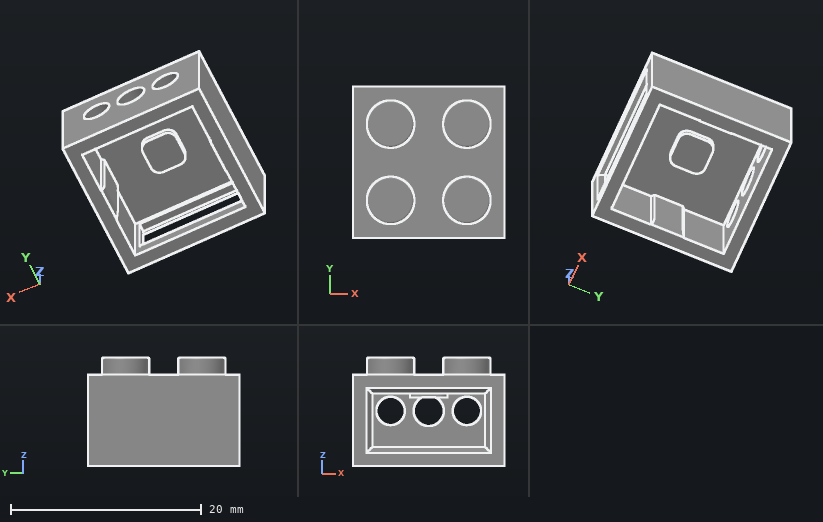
import cadquery as cq
import math

body_side = 15.9
body_height = 9.6
wall = 1.55
ceiling_z = body_height - wall
cavity_half = body_side / 2 - wall

stud_diameter = 5.0
stud_height = 1.8
stud_edge_fillet = 0.25
pitch = 8.0

window_width = 11.83
window_bottom = 2.0
window_top = 7.6
window_bevel = 0.6

hole_z = 5.79
center_hole_diameter = 3.15
side_hole_diameter = 2.95

block_side = 3.91
block_corner_radius = block_side / 4
block_bottom = 7.2

rib_length = 3.78
rib_thickness = 0.29
rib_undercut_angle = math.radians(12)
rib_undercut_height = 0.67
rib_crest_radius = 4.77


def make_shell():
    shell = cq.Workplane("XY").box(body_side, body_side, body_height, centered=(True, True, False))
    cavity = cq.Workplane("XY").box(
        2 * cavity_half, 2 * cavity_half, ceiling_z, centered=(True, True, False)
    )
    return shell.cut(cavity)


def make_studs():
    return (
        cq.Workplane("XY", origin=(0, 0, body_height))
        .rarray(pitch, pitch, 2, 2)
        .circle(stud_diameter / 2)
        .extrude(stud_height)
        .faces(">Z")
        .edges()
        .fillet(stud_edge_fillet)
    )


def make_window_cutter():
    """Straight window with a bevelled mouth on the front face."""
    height = window_top - window_bottom
    center = (0, -body_side / 2, (window_top + window_bottom) / 2)
    opening = cq.Workplane("XZ", origin=center).rect(window_width, height).extrude(-wall)
    mouth = (
        cq.Workplane("XZ", origin=center)
        .rect(window_width + 2 * window_bevel, height + 2 * window_bevel)
        .extrude(-window_bevel, taper=45)
    )
    return opening.union(mouth)


def make_back_hole(x, diameter):
    return (
        cq.Workplane("XZ", origin=(x, body_side / 2, hole_z))
        .circle(diameter / 2)
        .extrude(wall)
    )


def make_ceiling_block():
    return (
        cq.Workplane("XY", origin=(0, 0, block_bottom))
        .rect(block_side, block_side)
        .extrude(ceiling_z - block_bottom)
        .edges("|Z")
        .fillet(block_corner_radius)
    )


def make_rib():
    """Rib on the +X wall: XZ profile run along Y, with both ends bevelled at 45 degrees."""
    half_length = rib_length / 2
    crest_x = cavity_half - rib_thickness
    crest_z = rib_undercut_height + rib_crest_radius * math.sin(rib_undercut_angle)
    arc_end_x = crest_x + rib_crest_radius * (1 - math.cos(rib_undercut_angle))
    half_angle = rib_undercut_angle / 2
    arc_middle = (
        crest_x + rib_crest_radius * (1 - math.cos(half_angle)),
        crest_z - rib_crest_radius * math.sin(half_angle),
    )
    root_x = cavity_half + wall / 2
    foot_x = arc_end_x + rib_undercut_height * math.tan(rib_undercut_angle)
    profile = (
        cq.Workplane("XZ", origin=(0, -half_length, 0))
        .moveTo(root_x, 0)
        .lineTo(foot_x, 0)
        .lineTo(arc_end_x, rib_undercut_height)
        .threePointArc(arc_middle, (crest_x, crest_z))
        .lineTo(crest_x, ceiling_z)
        .lineTo(root_x, ceiling_z)
        .close()
        .extrude(-rib_length)
    )
    envelope = (
        cq.Workplane("XY")
        .polyline(
            [
                (root_x, -half_length),
                (cavity_half, -half_length),
                (crest_x, rib_thickness - half_length),
                (crest_x, half_length - rib_thickness),
                (cavity_half, half_length),
                (root_x, half_length),
            ]
        )
        .close()
        .extrude(ceiling_z)
    )
    return profile.intersect(envelope)


result = make_shell().union(make_studs()).union(make_ceiling_block())
rib = make_rib()
result = result.union(rib).union(rib.mirror("YZ"))
result = result.cut(make_window_cutter())
result = result.cut(make_back_hole(0, center_hole_diameter))
for side in (-1, 1):
    result = result.cut(make_back_hole(side * pitch / 2, side_hole_diameter))